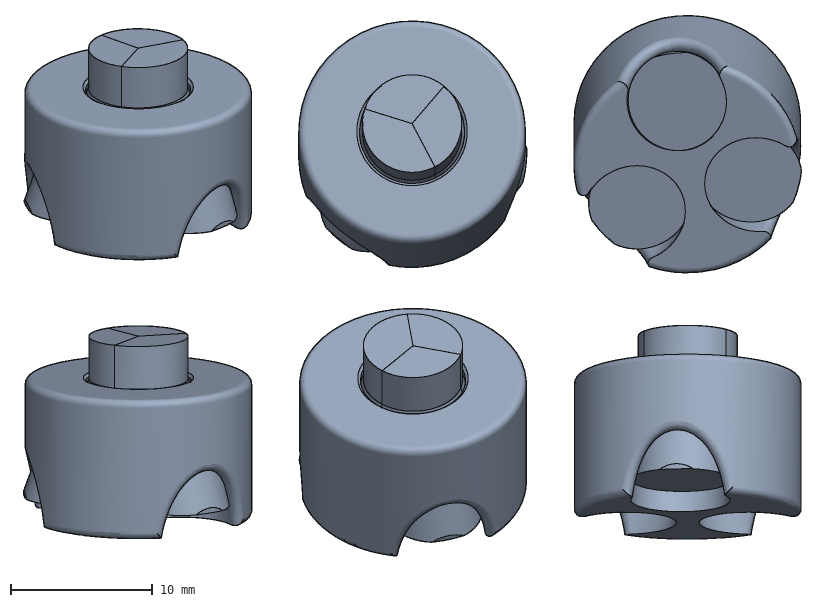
import cadquery as cq
import math

HOUSING_DIAMETER = 16.0
HOUSING_HEIGHT = 10.0
EDGE_RADIUS = 0.5
GUIDE_DIAMETER = 7.4
GUIDE_CHAMFER = 0.2

SHAFT_DIAMETER = 7.0
SHAFT_PROJECTION = 3.0
SHAFT_TOP = HOUSING_HEIGHT + SHAFT_PROJECTION
LEG_RADIUS = SHAFT_DIAMETER / 2
LEG_TILT = 20.0
LEG_TOP = 6.12
FOOT_HEIGHT = 1.6
FOOT_OFFSET = 4.5
FOOT_TIP_RADIUS = 8.1
FLARE_TOP = HOUSING_HEIGHT - GUIDE_CHAMFER / 2

WIDE_SECTOR = 135.0
NARROW_SECTOR = (360.0 - WIDE_SECTOR) / 2
NARROW_DIRECTION = (WIDE_SECTOR + NARROW_SECTOR) / 2
JAW_LAYOUT = [
    (0.0, WIDE_SECTOR),
    (NARROW_DIRECTION, NARROW_SECTOR),
    (-NARROW_DIRECTION, NARROW_SECTOR),
]

SAMPLE_FRACTIONS = (0.3, 0.6)
EDGE_TOLERANCE = 0.002


def disc(radius, bottom, top):
    """Vertical cylinder on the housing axis."""
    return cq.Workplane("XY").workplane(offset=bottom).circle(radius).extrude(top - bottom)


def inclined_leg(direction, bottom):
    """Round bar leaning outward as it descends, cut level at its bottom and at LEG_TOP."""
    tilt = math.radians(LEG_TILT)
    axis = cq.Vector(-math.sin(tilt), 0, math.cos(tilt))
    length = 2 * SHAFT_TOP
    foot_centre = cq.Vector(FOOT_OFFSET, 0, FOOT_HEIGHT)
    start = foot_centre - axis * (length / 2)
    bar = cq.Workplane(cq.Solid.makeCylinder(LEG_RADIUS, length, start, axis))
    level_slab = disc(HOUSING_DIAMETER, bottom, LEG_TOP)
    return bar.intersect(level_slab).rotate((0, 0, 0), (0, 0, 1), direction)


def sector(direction, angle):
    """Tall wedge about the housing axis, centred on the given direction."""
    wedge = cq.Solid.makeCylinder(HOUSING_DIAMETER, SHAFT_TOP, angleDegrees=angle)
    return cq.Workplane(wedge).rotate((0, 0, 0), (0, 0, 1), direction - angle / 2)


def on_wall(edge):
    """True when two sample points along the edge lie on the housing's side wall."""
    samples = [edge.positionAt(fraction) for fraction in SAMPLE_FRACTIONS]
    wall_radius = HOUSING_DIAMETER / 2
    return all(
        math.isclose(math.hypot(point.x, point.y), wall_radius, abs_tol=EDGE_TOLERANCE)
        for point in samples
    )


def make_housing():
    body = disc(HOUSING_DIAMETER / 2, 0, HOUSING_HEIGHT).faces(">Z").edges().fillet(EDGE_RADIUS)

    for direction, _ in JAW_LAYOUT:
        body = body.cut(inclined_leg(direction, -EDGE_RADIUS))

    rims = body.edges().filter(lambda edge: edge.endPoint().z < LEG_TOP and on_wall(edge))
    body = body.newObject(rims.vals()).fillet(EDGE_RADIUS)

    body = body.cut(disc(GUIDE_DIAMETER / 2, LEG_TOP, HOUSING_HEIGHT))
    mouth = (
        cq.Workplane("XY").workplane(offset=HOUSING_HEIGHT)
        .circle(GUIDE_DIAMETER / 2 + GUIDE_CHAMFER)
        .workplane(offset=-GUIDE_CHAMFER)
        .circle(GUIDE_DIAMETER / 2)
        .loft(ruled=True)
    )
    return body.cut(mouth)


def make_jaw(direction, angle):
    shaft_radius = SHAFT_DIAMETER / 2
    guide_radius = GUIDE_DIAMETER / 2
    flare_height = (guide_radius - shaft_radius) / math.tan(math.radians(LEG_TILT))
    shaft = (
        cq.Workplane("XZ")
        .moveTo(0, LEG_TOP)
        .lineTo(guide_radius, LEG_TOP)
        .lineTo(guide_radius, FLARE_TOP - flare_height)
        .lineTo(shaft_radius, FLARE_TOP)
        .lineTo(shaft_radius, SHAFT_TOP)
        .lineTo(0, SHAFT_TOP)
        .close()
        .revolve(360, (0, 0), (0, 1))
    )

    envelope = disc(FOOT_TIP_RADIUS, FOOT_HEIGHT, LEG_TOP)
    leg = inclined_leg(direction, FOOT_HEIGHT).intersect(envelope)
    wedge = sector(direction, angle)
    return shaft.intersect(wedge).union(leg.intersect(wedge))


housing = make_housing().solids()
jaws = [make_jaw(direction, angle).solids() for direction, angle in JAW_LAYOUT]

result = cq.Compound.makeCompound([housing.val(), *[jaw.val() for jaw in jaws]])